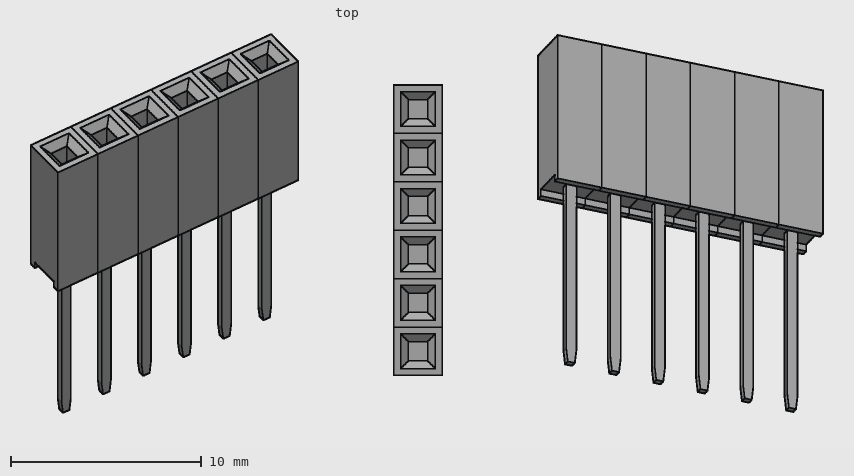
import cadquery as cq

contact_count = 6
row_length = 15.23
pitch = row_length / contact_count
housing_width = 2.55
total_height = 18.6
housing_height = 8.5

foot_width = 0.39
foot_height = 0.39

mouth_size = 1.82
throat_size = 1.0
funnel_depth = (mouth_size - throat_size) / 2
socket_depth = housing_height / 2

pin_thickness = 0.37
pin_width = 0.6
tip_width = 0.4
tip_height = 0.8

housing_bottom = total_height - housing_height
underside = housing_bottom + foot_height
funnel_floor = total_height - funnel_depth


def make_housing():
    """One housing cell with a channel between its two feet."""
    block = (
        cq.Workplane("XY", origin=(0, 0, housing_bottom))
        .rect(housing_width, pitch)
        .extrude(housing_height)
    )
    channel = (
        cq.Workplane("XY", origin=(0, 0, housing_bottom))
        .rect(housing_width - 2 * foot_width, pitch)
        .extrude(foot_height)
    )
    return block.cut(channel)


def make_socket():
    """The cavity of one socket: a pyramid funnel above a square hole."""
    funnel = (
        cq.Workplane("XY", origin=(0, 0, total_height))
        .rect(mouth_size, mouth_size)
        .workplane(offset=-funnel_depth)
        .rect(throat_size, throat_size)
        .loft(ruled=True)
    )
    hole = (
        cq.Workplane("XY", origin=(0, 0, funnel_floor))
        .rect(throat_size, throat_size)
        .extrude(funnel_depth - socket_depth)
    )
    return funnel.union(hole)


def make_pin():
    """The flat pin below the housing, with a constant thickness along X."""
    return (
        cq.Workplane("YZ")
        .moveTo(-tip_width / 2, 0)
        .lineTo(tip_width / 2, 0)
        .lineTo(pin_width / 2, tip_height)
        .lineTo(pin_width / 2, underside)
        .lineTo(-pin_width / 2, underside)
        .lineTo(-pin_width / 2, tip_height)
        .close()
        .extrude(pin_thickness / 2, both=True)
    )


def make_contact(y_position):
    """One complete contact: housing cell and pin as a single solid."""
    contact = make_housing().cut(make_socket()).union(make_pin())
    return contact.translate((0, y_position, 0))


contacts = []
for index in range(contact_count):
    y_center = (index - (contact_count - 1) / 2) * pitch
    contacts.append(make_contact(y_center).val())

result = cq.Compound.makeCompound(contacts)